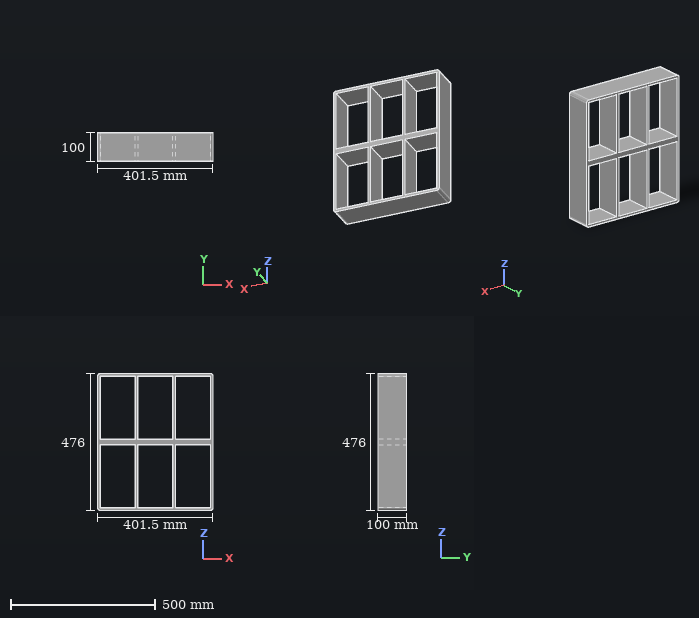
import cadquery as cq

width = 401.5
depth = 100.0
height = 476.0

outer_wall = 10.0
divider = 10.0
shelf = 20.0
corner_radius = 10.0

columns = 3
rows = 2
cell_width = (width - 2 * outer_wall - (columns - 1) * divider) / columns
cell_height = (height - 2 * outer_wall - (rows - 1) * shelf) / rows


def make_body():
    """Solid block centred on the origin, rounded along its four depth edges."""
    block = cq.Workplane("XY").box(width, depth, height)
    return block.edges("|Y").fillet(corner_radius)


def make_compartments():
    """Grid of rectangular openings running through the full depth."""
    column_pitch = cell_width + divider
    row_pitch = cell_height + shelf
    return (
        cq.Workplane("XZ")
        .rarray(column_pitch, row_pitch, columns, rows)
        .rect(cell_width, cell_height)
        .extrude(depth, both=True)
    )


result = make_body().cut(make_compartments())